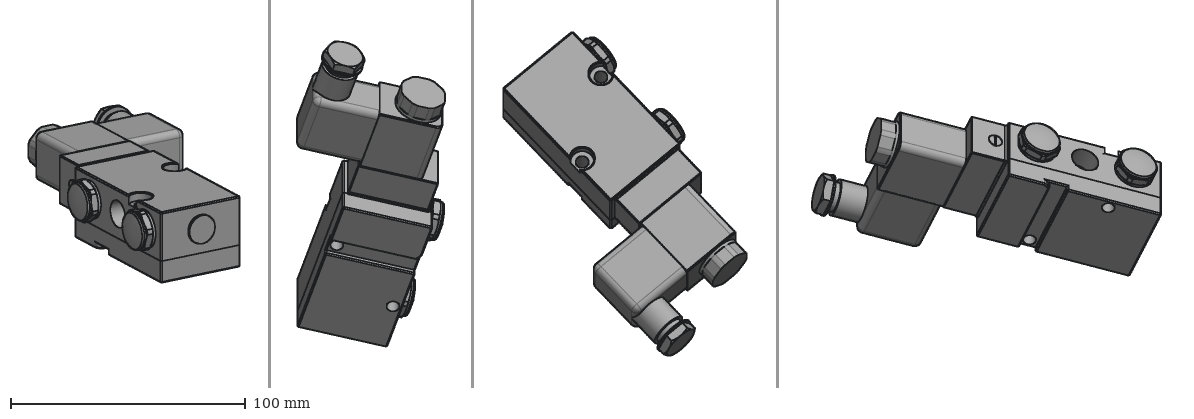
import cadquery as cq
import math


valve_length = 69.6
valve_width = 40.0
base_height = 10.0
body_height = 22.0
valve_top = base_height + body_height
edge_chamfer = 0.6
axis_y = valve_width / 2
axis_z = base_height + body_height / 2

mount_hole_diameter = 5.5
mount_head_diameter = 10.0
mount_head_depth = 4.0
mount_head_chamfer = 0.5
mount_edge_offset = 4.0
mount_spacing = 24.0

port_diameter = 12.0
port_depth = 10.0
silencer_offset = 22.0
end_button_diameter = 12.81
end_button_length = 1.2

silencer_diameter = 17.0
silencer_hex_corners = 18.5
silencer_hex_near = 1.4
silencer_hex_far = 4.8
silencer_hex_chamfer = 0.3
silencer_rim_start = 5.7
silencer_rim_end = 6.5
silencer_dome_diameter = 16.0
silencer_height = 7.86
silencer_turns = (11.0, 41.0)

slot_left = 19.3
slot_right = 26.7
slot_height = 2.4
slot_relief_length = 2.5
slot_relief_depth = 1.7

gasket_thickness = 1.0
gasket_drop = 0.5
pilot_length = 15.0
pilot_width = 35.6
pilot_right = -gasket_thickness
pilot_left = pilot_right - pilot_length
pilot_front = axis_y - pilot_width / 2
pilot_back = axis_y + pilot_width / 2
pilot_chamfer = 0.4
screw_x = -5.1
screw_diameter = 6.0
screw_recess = 0.1
screw_slot_width = 0.8
screw_slot_depth = 1.0

coil_length = 30.0
coil_front = 9.0
coil_back = 37.0
coil_left = pilot_left - coil_length
coil_edge_radius = 3.0
coil_chamfer = 0.5
nut_length = 8.0
nut_collar_length = 1.4
nut_diameter = 20.0
nut_root_diameter = 20.5
nut_flat_count = 8
nut_flat_half_angle = 15.0

connector_inset = 0.5
connector_back = 66.0
connector_radius = 3.0
sleeve_diameter = 16.0
sleeve_end = -57.4
neck_diameter = 13.0
gland_left = -65.2
gland_hex_length = 4.0
gland_flange_length = 0.8
gland_flange_diameter = 18.0
gland_y = connector_back - sleeve_diameter / 2
gland_chamfer_length = 0.8


def block(x_range, y_range, z_range):
    """Box between the given limits on each axis."""
    size = [high - low for low, high in (x_range, y_range, z_range)]
    return cq.Workplane("XY").box(*size, centered=False).translate((x_range[0], y_range[0], z_range[0]))


def cylinder_x(diameter, x_start, x_end, y):
    """Cylinder along X on the valve axis height."""
    return (
        cq.Workplane("YZ", origin=(x_start, y, axis_z))
        .circle(diameter / 2)
        .extrude(x_end - x_start)
    )


def mount_points():
    """Two mounting holes on opposite long edges, evenly placed about the middle."""
    middle = valve_length / 2
    return [
        (middle - mount_spacing / 2, valve_width - mount_edge_offset),
        (middle + mount_spacing / 2, mount_edge_offset),
    ]


def mount_holes():
    """Through holes reaching from the base plate to the top face."""
    return cq.Workplane("XY").pushPoints(mount_points()).circle(mount_hole_diameter / 2).extrude(valve_top)


def mount_heads():
    """Chamfered counterbores for the mounting screws, open to the nearest side."""
    head_floor = valve_top - mount_head_depth
    profile = (
        cq.Workplane("XZ")
        .moveTo(0, head_floor)
        .lineTo(mount_head_diameter / 2, head_floor)
        .lineTo(mount_head_diameter / 2, valve_top - mount_head_chamfer)
        .lineTo(mount_head_diameter / 2 + mount_head_chamfer, valve_top)
        .lineTo(0, valve_top)
        .close()
    )
    head = profile.revolve(360, (0, 0, 0), (0, 1, 0)).val()
    return cq.Workplane("XY").newObject([head.translate(cq.Vector(x, y, 0)) for x, y in mount_points()])


def make_valve_body():
    body = block((0, valve_length), (0, valve_width), (base_height, valve_top))
    body = body.edges("|Z or >Z").chamfer(edge_chamfer)
    body = body.cut(mount_holes())
    for head in mount_heads().vals():
        body = body.cut(cq.Workplane(head))
    port = (
        cq.Workplane("XZ", origin=(valve_length / 2, 0, axis_z))
        .circle(port_diameter / 2)
        .extrude(-port_depth)
    )
    button = cylinder_x(end_button_diameter, valve_length, valve_length + end_button_length, axis_y)
    return body.cut(port).union(button)


def make_base_plate():
    base = block((0, valve_length), (0, valve_width), (0, base_height))
    slot = block((slot_left, slot_right), (0, valve_width), (0, slot_height))
    relief = (
        cq.Workplane("XY")
        .moveTo(slot_left - slot_relief_length, 0)
        .lineTo(slot_left, 0)
        .lineTo(slot_left, slot_relief_depth)
        .close()
        .extrude(slot_height)
    )
    base = base.cut(slot).cut(relief)
    base = base.faces("<Y or >Y or <Z").edges("not >Z").chamfer(edge_chamfer)
    return base.cut(mount_holes())


def make_silencer(x, turn):
    """Hexagon silencer with a domed end, pointing away from the front face."""
    radius = silencer_diameter / 2
    dome_radius = silencer_dome_diameter / 2
    dome_rise = silencer_height - silencer_rim_end
    sphere_radius = (dome_radius**2 + dome_rise**2) / (2 * dome_rise)
    dome = cq.Workplane("XY").sphere(sphere_radius).translate((0, silencer_height - sphere_radius, 0))
    core = (
        cq.Workplane("XY")
        .lineTo(radius, 0)
        .lineTo(radius, silencer_rim_start)
        .lineTo(dome_radius, silencer_rim_end)
        .lineTo(dome_radius, silencer_height)
        .lineTo(0, silencer_height)
        .close()
        .revolve(360, (0, 0, 0), (0, 1, 0))
        .intersect(dome)
    )
    corner_radius = silencer_hex_corners / 2
    hex_envelope = (
        cq.Workplane("XY")
        .moveTo(0, silencer_hex_near)
        .lineTo(radius, silencer_hex_near)
        .lineTo(corner_radius, silencer_hex_near + silencer_hex_chamfer)
        .lineTo(corner_radius, silencer_hex_far - silencer_hex_chamfer)
        .lineTo(radius, silencer_hex_far)
        .lineTo(0, silencer_hex_far)
        .close()
        .revolve(360, (0, 0, 0), (0, 1, 0))
    )
    hexagon = (
        cq.Workplane("XZ")
        .polygon(6, silencer_diameter, circumscribed=True)
        .extrude(-silencer_height)
        .rotate((0, 0, 0), (0, 1, 0), turn)
    )
    silencer = core.union(hexagon.intersect(hex_envelope))
    return silencer.rotate((0, 0, 0), (0, 0, 1), 180).translate((x, 0, axis_z))


def make_pilot():
    """Pilot block with its gasket and the slotted override screw."""
    pilot = block((pilot_left, pilot_right), (pilot_front, pilot_back), (base_height, valve_top))
    pilot = pilot.edges("|X or <X").chamfer(pilot_chamfer)
    gasket = block(
        (pilot_right, 0),
        (pilot_front - gasket_drop, pilot_back),
        (base_height - gasket_drop, valve_top - gasket_drop),
    )
    gasket = gasket.edges("|X").chamfer(pilot_chamfer)
    face = cq.Workplane("XZ", origin=(screw_x, pilot_front, axis_z))
    recess = face.circle(screw_diameter / 2).extrude(-screw_recess)
    groove = (
        face.rect(screw_slot_width, screw_diameter)
        .extrude(-screw_slot_depth)
        .intersect(face.circle(screw_diameter / 2).extrude(-screw_slot_depth))
    )
    return pilot.union(gasket).cut(recess).cut(groove)


def make_coil():
    coil = block((coil_left, pilot_left), (coil_front, coil_back), (base_height, valve_top))
    coil = coil.edges("|X and <Y").fillet(coil_edge_radius)
    return coil.faces("<X").edges("not >Y").chamfer(coil_chamfer)


def make_coil_nut():
    """Round nut with eight flats, widening in a short taper towards the coil."""
    nut_left = coil_left - nut_length
    collar_left = coil_left - nut_collar_length
    across_flats = nut_diameter * math.cos(math.radians(nut_flat_half_angle))
    grip = cylinder_x(nut_diameter, nut_left, collar_left, axis_y)
    octagon = (
        cq.Workplane("YZ", origin=(nut_left, axis_y, axis_z))
        .polygon(nut_flat_count, across_flats, circumscribed=True)
        .extrude(nut_length)
    )
    collar = (
        cq.Workplane("YZ", origin=(collar_left, axis_y, axis_z))
        .circle(nut_diameter / 2)
        .workplane(offset=nut_collar_length)
        .circle(nut_root_diameter / 2)
        .loft()
    )
    return grip.intersect(octagon).union(collar)


def make_gland():
    """Cable gland: chamfered hexagon, flange and neck."""
    hex_right = gland_left + gland_hex_length
    flange_right = hex_right + gland_flange_length
    hex_corner_radius = gland_flange_diameter / 2
    hex_flat_radius = hex_corner_radius * math.cos(math.radians(30))
    hexagon = (
        cq.Workplane("YZ", origin=(gland_left, gland_y, axis_z))
        .polygon(6, 2 * hex_corner_radius)
        .extrude(gland_hex_length)
    )
    envelope = (
        cq.Workplane("YZ", origin=(gland_left, gland_y, axis_z))
        .circle(hex_corner_radius)
        .extrude(gland_hex_length)
        .faces("<X")
        .chamfer(gland_chamfer_length, hex_corner_radius - hex_flat_radius)
    )
    flange = cylinder_x(gland_flange_diameter, hex_right, flange_right, gland_y)
    neck = cylinder_x(neck_diameter, flange_right, sleeve_end, gland_y)
    return hexagon.intersect(envelope).union(flange).union(neck)


def make_connector():
    connector_left = coil_left + connector_inset
    connector_right = pilot_left - connector_inset
    connector = block(
        (connector_left, connector_right),
        (coil_back, connector_back),
        (base_height + connector_inset, valve_top - connector_inset),
    )
    connector = connector.edges("not <Y").fillet(connector_radius)
    sleeve = cylinder_x(sleeve_diameter, sleeve_end, connector_left + connector_radius, gland_y)
    return connector.union(sleeve).union(make_gland())


def make_solenoid():
    """Operator: pilot block, coil, coil nut and plug connector as one solid."""
    return make_pilot().union(make_coil()).union(make_coil_nut()).union(make_connector())


valve_body = make_valve_body()
base_plate = make_base_plate()
solenoid = make_solenoid()
silencers = []
for side, turn in zip((-1, 1), silencer_turns):
    silencers.append(make_silencer(valve_length / 2 + side * silencer_offset, turn).val())

result = cq.Compound.makeCompound([valve_body.val(), base_plate.val(), solenoid.val(), *silencers])